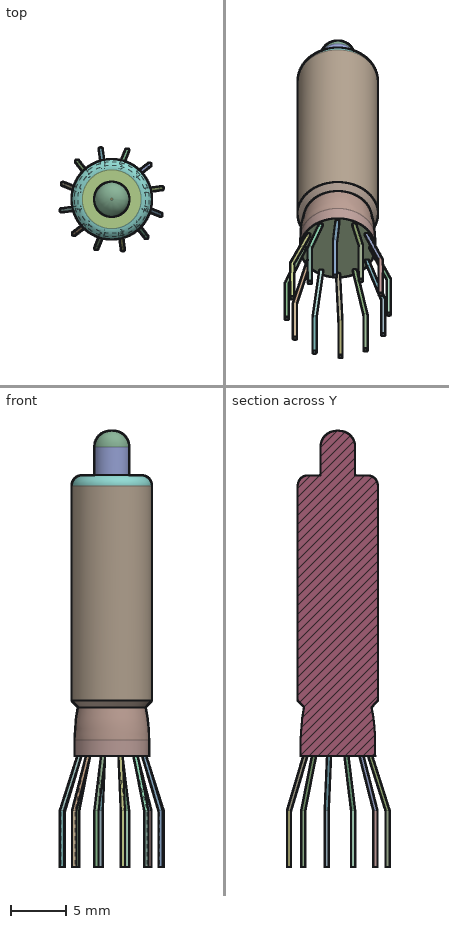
import cadquery as cq
import math

total_height = 39.5
wire_bend_z = 5.1
base_z = 10.05
base_top_z = 11.5
neck_top_z = 14.45
body_z = 15.05
body_top_z = 35.47

body_radius = 7.3 / 2
body_round = 1.0
base_radius = 6.8 / 2
neck_radius = 3.1
tip_radius = 3.2 / 2
tip_round = 1.5

wire_count = 12
wire_diameter = 0.4
wire_start_angle = 12.5
wire_top_ring_radius = 3.05
wire_twist = 2.5
wire_end_ring_radius = 4.62
wire_embed = 0.4


def round_corner(profile, radius, z, round_radius):
    """Turn from a vertical wall at radius to a horizontal face at z."""
    diagonal = round_radius * math.sqrt(0.5)
    center_r = radius - round_radius
    center_z = z - round_radius
    return profile.lineTo(radius, center_z).threePointArc(
        (center_r + diagonal, center_z + diagonal), (center_r, z)
    )


def make_body():
    """Revolve the base, flared neck, main barrel and domed tip."""
    profile = cq.Workplane("XZ").moveTo(0, base_z).lineTo(base_radius, base_z)
    profile = profile.lineTo(base_radius, base_top_z)
    profile = profile.tangentArcPoint((neck_radius, neck_top_z), relative=False)
    profile = profile.lineTo(body_radius, body_z)
    profile = round_corner(profile, body_radius, body_top_z, body_round)
    profile = profile.lineTo(tip_radius, body_top_z)
    profile = round_corner(profile, tip_radius, total_height, tip_round)
    return profile.lineTo(0, total_height).close().revolve(360, (0, 0, 0), (0, 1, 0))


def make_wire():
    """Build one wire: upright end, slanted stretch and a short stub inside the base."""
    wire_radius = wire_diameter / 2
    twist = math.radians(wire_twist)
    top_x = wire_top_ring_radius * math.cos(twist)
    top_y = wire_top_ring_radius * math.sin(twist)
    end = cq.Workplane("XY").center(wire_end_ring_radius, 0).circle(wire_radius).extrude(wire_bend_z)
    slant = (
        cq.Workplane("XY", origin=(wire_end_ring_radius, 0, wire_bend_z))
        .circle(wire_radius)
        .workplane(offset=base_z - wire_bend_z)
        .center(top_x - wire_end_ring_radius, top_y)
        .circle(wire_radius)
        .loft(ruled=True)
    )
    stub = (
        cq.Workplane("XY", origin=(top_x, top_y, base_z))
        .circle(wire_radius)
        .extrude(wire_embed)
    )
    return end.union(slant).union(stub)


result = make_body()
wire = make_wire()
for index in range(wire_count):
    angle = wire_start_angle + index * 360 / wire_count
    result = result.union(wire.rotate((0, 0, 0), (0, 0, 1), angle))